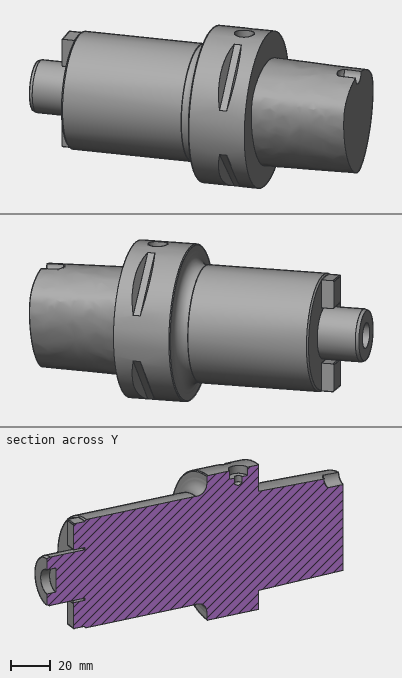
import cadquery as cq
import math

total_length = 169.5
key_front_x = 15.1
body_front_x = 21.7
relief_x = 85.0
flange_front_x = 91.5
flange_back_x = 121.2

pilot_radius = 27.0 / 2
pilot_chamfer_length = 1.7
pilot_chamfer_height = 0.7
body_radius = 60.0 / 2
body_chamfer = 0.8
relief_radius = 59.8 / 2
relief_taper_length = 0.2
cove_radius = 5.3
flange_radius = 80.0 / 2
flange_chamfer = 0.5
flange_rim_inner_radius = 36.3
flange_face_step = 0.2

bore_diameter = 13.0
bore_depth = 5.1

key_width = 12.2
key_inner_z = 14.4
key_outer_z = 29.0
key_chamfer = 0.5

shank_mean_radius = 27.5
shank_lobe = 2.0
shank_end_reduction = 1.2
points_per_section = 72

shank_groove_radius = 10.0 / 2
shank_groove_start_x = 160.7
shank_groove_dome = 2.0

flange_feature_x = 109.5
gripper_floor_distance = 35.5
gripper_floor_width = 3.7
gripper_mouth_width = 8.3
gripper_angles = (45, 135, 225, 315)
coding_hole_diameter = 10.0
coding_hole_depth = 4.5
drill_diameter = 4.0
drill_depth = 3.4
drill_point_angle = 118


def make_turned_body():
    cove_end_x = flange_front_x - flange_face_step
    cove_start_x = cove_end_x - cove_radius
    cove_end_radius = relief_radius + cove_radius
    cove_sine = math.sin(math.pi / 4)
    cove_middle = (
        cove_start_x + cove_radius * cove_sine,
        cove_end_radius - cove_radius * cove_sine,
    )
    return (
        cq.Workplane("XY")
        .moveTo(0, 0)
        .lineTo(0, pilot_radius - pilot_chamfer_height)
        .lineTo(pilot_chamfer_length, pilot_radius)
        .lineTo(body_front_x, pilot_radius)
        .lineTo(body_front_x, body_radius - body_chamfer)
        .lineTo(body_front_x + body_chamfer, body_radius)
        .lineTo(relief_x, body_radius)
        .lineTo(relief_x + relief_taper_length, relief_radius)
        .lineTo(cove_start_x, relief_radius)
        .threePointArc(cove_middle, (cove_end_x, cove_end_radius))
        .lineTo(flange_front_x, flange_rim_inner_radius)
        .lineTo(flange_front_x, flange_radius - flange_chamfer)
        .lineTo(flange_front_x + flange_chamfer, flange_radius)
        .lineTo(flange_back_x, flange_radius)
        .lineTo(flange_back_x, 0)
        .close()
        .revolve(360, (0, 0, 0), (1, 0, 0))
    )


def shank_section(mean_radius):
    """Points of the curve whose tangent lies mean_radius + lobe * cos(3 * angle) from the axis."""
    points = []
    for index in range(points_per_section):
        angle = 2 * math.pi * index / points_per_section
        reach = mean_radius + shank_lobe * math.cos(3 * angle)
        slope = -3 * shank_lobe * math.sin(3 * angle)
        y = reach * math.sin(angle) + slope * math.cos(angle)
        z = -reach * math.cos(angle) + slope * math.sin(angle)
        points.append((y, z))
    return points


def make_shank():
    shank_length = total_length - flange_back_x
    return (
        cq.Workplane("YZ", origin=(flange_back_x, 0, 0))
        .spline(shank_section(shank_mean_radius), periodic=True)
        .close()
        .workplane(offset=shank_length)
        .spline(shank_section(shank_mean_radius - shank_end_reduction), periodic=True)
        .close()
        .loft(ruled=True)
    )


def make_key():
    return (
        cq.Workplane("XY")
        .box(body_front_x - key_front_x, key_width, key_outer_z - key_inner_z, centered=(False, True, False))
        .faces("<X")
        .edges("|Y")
        .chamfer(key_chamfer)
        .translate((key_front_x, 0, key_inner_z))
    )


def make_shank_groove():
    """Round-bottomed groove along X with a shallow domed end, centred on the upper shank surface."""
    axis_z = shank_mean_radius - shank_end_reduction - shank_lobe
    dome_radius = (shank_groove_radius**2 + shank_groove_dome**2) / (2 * shank_groove_dome)
    dome_tip_x = shank_groove_start_x - shank_groove_dome
    half_angle = math.asin(shank_groove_radius / dome_radius) / 2
    dome_middle = (
        dome_tip_x + dome_radius * (1 - math.cos(half_angle)),
        dome_radius * math.sin(half_angle),
    )
    return (
        cq.Workplane("XY")
        .moveTo(dome_tip_x, 0)
        .threePointArc(dome_middle, (shank_groove_start_x, shank_groove_radius))
        .lineTo(total_length, shank_groove_radius)
        .lineTo(total_length, 0)
        .close()
        .revolve(360, (0, 0, 0), (1, 0, 0))
        .translate((0, 0, axis_z))
    )


def make_gripper_groove(angle):
    """Straight trapezoidal groove across the flange rim, turned about the X axis."""
    half_floor = gripper_floor_width / 2
    half_mouth = gripper_mouth_width / 2
    return (
        cq.Workplane("XZ", origin=(flange_feature_x, 0, 0))
        .moveTo(-half_floor, gripper_floor_distance)
        .lineTo(half_floor, gripper_floor_distance)
        .lineTo(half_mouth, flange_radius)
        .lineTo(-half_mouth, flange_radius)
        .close()
        .extrude(flange_radius, both=True)
        .rotate((0, 0, 0), (1, 0, 0), angle)
    )


def make_coding_hole():
    """Flat-bottomed hole with a pointed drilling in its floor, as depths below the flange rim."""
    drill_radius = drill_diameter / 2
    floor_z = flange_radius - coding_hole_depth
    drill_z = floor_z - drill_depth
    point_length = drill_radius / math.tan(math.radians(drill_point_angle / 2))
    return (
        cq.Workplane("XZ")
        .moveTo(0, flange_radius)
        .lineTo(coding_hole_diameter / 2, flange_radius)
        .lineTo(coding_hole_diameter / 2, floor_z)
        .lineTo(drill_radius, floor_z)
        .lineTo(drill_radius, drill_z)
        .lineTo(0, drill_z - point_length)
        .close()
        .revolve(360, (0, 0, 0), (0, 1, 0))
        .translate((flange_feature_x, 0, 0))
    )


upper_key = make_key()
lower_key = upper_key.mirror("XY")
pilot_bore = cq.Workplane("YZ").circle(bore_diameter / 2).extrude(bore_depth)

result = make_turned_body().union(make_shank()).union(upper_key).union(lower_key)
result = result.cut(pilot_bore).cut(make_shank_groove()).cut(make_coding_hole())
for gripper_angle in gripper_angles:
    result = result.cut(make_gripper_groove(gripper_angle))